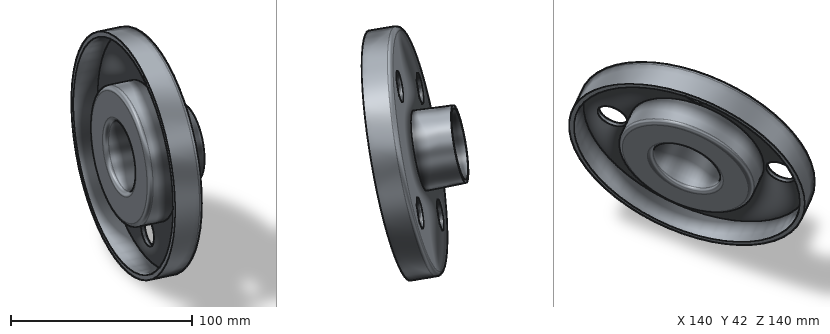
import cadquery as cq

flange_diameter = 140.0
total_depth = 42.0

rim_front = 2.5
flange_back = 19.6
rim_inner_diameter = 134.1
web_thickness = 2.5
web_front = flange_back - web_thickness
edge_radius = 2.5

boss_diameter = 80.0
hub_root_diameter = 45.0
hub_tip_diameter = 43.5
bore_diameter = 40.0

hole_count = 4
hole_diameter = 17.5
bolt_circle_diameter = 100.0


def front_disc(diameter, start, end):
    """Cylinder about the Y axis between two Y positions."""
    plane = cq.Workplane("XZ", origin=(0, start, 0))
    return plane.circle(diameter / 2).extrude(start - end)


def make_flange():
    flange = front_disc(flange_diameter, rim_front, flange_back)
    flange = flange.faces(">Y").edges().fillet(edge_radius)
    return flange.cut(front_disc(rim_inner_diameter, rim_front, web_front))


def make_boss():
    boss = front_disc(boss_diameter, 0, flange_back)
    return boss.faces("<Y").edges().fillet(edge_radius)


def make_hub():
    hub_profile = [
        (0, flange_back),
        (hub_root_diameter / 2, flange_back),
        (hub_tip_diameter / 2, total_depth),
        (0, total_depth),
    ]
    return cq.Workplane("XY").polyline(hub_profile).close().revolve(360, (0, 0), (0, 1))


def make_bolt_holes():
    plane = cq.Workplane("XZ", origin=(0, web_front, 0))
    centres = plane.polarArray(bolt_circle_diameter / 2, 0, 360, hole_count)
    return centres.circle(hole_diameter / 2).extrude(-web_thickness)


body = make_flange().union(make_boss()).union(make_hub())
body = body.cut(front_disc(bore_diameter, 0, total_depth))

bore_entry = cq.selectors.RadiusNthSelector(0)
body = body.faces("<Y").edges(bore_entry).fillet(edge_radius)

result = body.cut(make_bolt_holes())